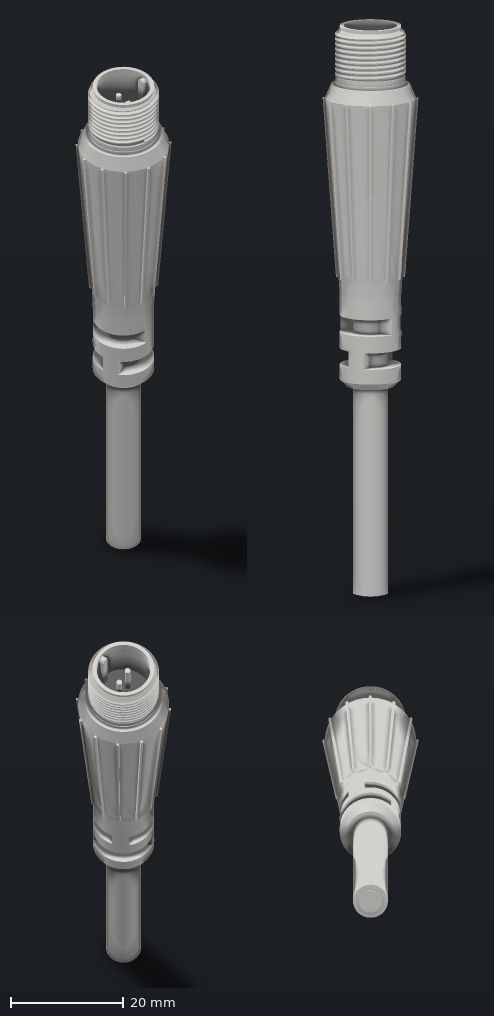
import cadquery as cq

TOTAL_HEIGHT = 103.5
RIM_EDGE_Z = 102.9
COLLAR_TOP_Z = 94.4
COLLAR_STEP_Z = 93.4
SHOULDER_TOP_Z = 92.8
GRIP_TOP_Z = 90.3
RIB_BOTTOM_Z = 57.7
GRIP_BOTTOM_Z = 54.8
UPPER_SLOT_TOP_Z = 50.9
HOUSING_BOTTOM_Z = 38.0

RIM_DIAMETER = 11.0
THREAD_DIAMETER = 12.7
THREAD_ROOT_DIAMETER = 11.6
COLLAR_DIAMETER = 12.4
NECK_DIAMETER = THREAD_DIAMETER
SHOULDER_TOP_DIAMETER = 14.1
GRIP_TOP_DIAMETER = 16.2
BOTTOM_CHAMFER = 1.2

THREAD_PITCH = 0.91
THREAD_BASE_WIDTH = 0.88
THREAD_CREST_WIDTH = 0.2
THREAD_EMBED = 0.2
THREAD_START_OFFSET = 0.2

RIB_COUNT = 12
RIB_START_ANGLE = -5.0
RIB_TOP_DIAMETER = 17.1
RIB_BOTTOM_DIAMETER = 12.3
RIB_TOP_WIDTH = 0.47
RIB_BOTTOM_WIDTH = 0.26
RIB_EMBED = 1.6

SLOT_HEIGHT = 3.0
SLOT_SPACING = 6.0
WEB_WIDTH = 3.1
WEB_ANGLE = 26.5

SOCKET_DIAMETER = 9.6
SOCKET_DEPTH = 9.0
KEY_WIDTH = 1.3
KEY_CHAMFER = 0.3
KEY_INNER_Y = 3.8
KEY_EMBED = 0.3
KEY_TOP_Z = 102.9
PIN_DIAMETER = 1.01
PIN_SPACING = 2.8
PIN_TOP_Z = 100.6
PIN_BOSS_DIAMETER = 2.1
PIN_BOSS_HEIGHT = 0.2

CABLE_DIAMETER = 6.2
CABLE_HOLE_DIAMETER = 6.3
CABLE_TOP_Z = GRIP_BOTTOM_Z
CABLE_CORE_DIAMETER = 4.1
CABLE_CORE_LENGTH = 0.3

CUT_MARGIN = 1.0

RIM_RADIUS = RIM_DIAMETER / 2
THREAD_ROOT_RADIUS = THREAD_ROOT_DIAMETER / 2
THREAD_RADIUS = THREAD_DIAMETER / 2
SOCKET_FLOOR_Z = TOTAL_HEIGHT - SOCKET_DEPTH


def cylinder(diameter, bottom_z, top_z):
    """Solid cylinder on the Z axis."""
    return cq.Workplane("XY").workplane(offset=bottom_z).circle(diameter / 2).extrude(top_z - bottom_z)


def make_housing_core():
    """Turned body: strain relief, grip cone, shoulder, collar and thread core."""
    profile = [
        (0, HOUSING_BOTTOM_Z),
        (RIM_RADIUS - BOTTOM_CHAMFER, HOUSING_BOTTOM_Z),
        (RIM_RADIUS, HOUSING_BOTTOM_Z + BOTTOM_CHAMFER),
        (RIM_RADIUS, GRIP_BOTTOM_Z),
        (GRIP_TOP_DIAMETER / 2, GRIP_TOP_Z),
        (SHOULDER_TOP_DIAMETER / 2, SHOULDER_TOP_Z),
        (NECK_DIAMETER / 2, SHOULDER_TOP_Z),
        (NECK_DIAMETER / 2, COLLAR_STEP_Z),
        (COLLAR_DIAMETER / 2, COLLAR_STEP_Z),
        (COLLAR_DIAMETER / 2, COLLAR_TOP_Z),
        (THREAD_ROOT_RADIUS, COLLAR_TOP_Z),
        (THREAD_ROOT_RADIUS, TOTAL_HEIGHT),
        (0, TOTAL_HEIGHT),
    ]
    return cq.Workplane("XZ").polyline(profile).close().revolve(360, (0, 0), (0, 1))


def make_thread_ridge():
    """Right-handed helical ridge, sunk into the thread core and running out past the rim."""
    start_z = COLLAR_TOP_Z + THREAD_START_OFFSET
    height = TOTAL_HEIGHT - start_z
    inner_radius = THREAD_ROOT_RADIUS - THREAD_EMBED
    helix = cq.Wire.makeHelix(THREAD_PITCH, height, inner_radius).moved(cq.Location(cq.Vector(0, 0, start_z)))
    section = [
        (inner_radius, start_z - THREAD_BASE_WIDTH / 2),
        (THREAD_RADIUS, start_z - THREAD_CREST_WIDTH / 2),
        (THREAD_RADIUS, start_z + THREAD_CREST_WIDTH / 2),
        (inner_radius, start_z + THREAD_BASE_WIDTH / 2),
    ]
    return cq.Workplane("XZ").polyline(section).close().sweep(cq.Workplane(helix), isFrenet=True)


def make_lead_in_cutter():
    """Ring that turns the threaded end down to the plain rim and a 45 degree lead-in."""
    reach = THREAD_RADIUS + CUT_MARGIN - RIM_RADIUS
    profile = [
        (RIM_RADIUS, RIM_EDGE_Z),
        (RIM_RADIUS + reach, RIM_EDGE_Z - reach),
        (RIM_RADIUS + reach, TOTAL_HEIGHT + CUT_MARGIN),
        (RIM_RADIUS, TOTAL_HEIGHT + CUT_MARGIN),
    ]
    return cq.Workplane("XZ").polyline(profile).close().revolve(360, (0, 0), (0, 1))


def make_rib(angle):
    """Narrow rib that follows the grip cone and tapers towards the strain relief."""
    bottom_center = (RIB_BOTTOM_DIAMETER - RIB_EMBED) / 2
    top_center = (RIB_TOP_DIAMETER - RIB_EMBED) / 2
    rib = (
        cq.Workplane("XY")
        .workplane(offset=RIB_BOTTOM_Z)
        .center(bottom_center, 0)
        .rect(RIB_EMBED, RIB_BOTTOM_WIDTH)
        .workplane(offset=GRIP_TOP_Z - RIB_BOTTOM_Z)
        .center(top_center - bottom_center, 0)
        .rect(RIB_EMBED, RIB_TOP_WIDTH)
        .loft(ruled=True)
    )
    return rib.rotate((0, 0, 0), (0, 0, 1), angle)


def make_slot(top_z, web_angle):
    """Ring-shaped cut down to the cable that leaves two opposite webs along one diameter."""
    bottom_z = top_z - SLOT_HEIGHT
    ring = cylinder(RIM_DIAMETER + CUT_MARGIN, bottom_z, top_z)
    web = (
        cq.Workplane("XY")
        .workplane(offset=bottom_z)
        .rect(2 * RIM_DIAMETER, WEB_WIDTH)
        .extrude(SLOT_HEIGHT)
        .rotate((0, 0, 0), (0, 0, 1), web_angle)
    )
    return ring.cut(web)


def make_key():
    """Polarising key on the +Y side of the socket wall, with chamfered upper corners."""
    key_length_y = SOCKET_DIAMETER / 2 + KEY_EMBED - KEY_INNER_Y
    key = cq.Workplane("XY").box(
        KEY_WIDTH, key_length_y, KEY_TOP_Z - SOCKET_FLOOR_Z, centered=(True, False, False)
    )
    key = key.edges(">Z and |Y").chamfer(KEY_CHAMFER)
    return key.translate((0, KEY_INNER_Y, SOCKET_FLOOR_Z))


def make_pin(x):
    """Contact pin with a low boss around its foot."""
    boss = cylinder(PIN_BOSS_DIAMETER, SOCKET_FLOOR_Z, SOCKET_FLOOR_Z + PIN_BOSS_HEIGHT)
    return cylinder(PIN_DIAMETER, SOCKET_FLOOR_Z, PIN_TOP_Z).union(boss).translate((x, 0, 0))


def make_housing():
    """Threaded connector with grip, strain relief, key and pins as one solid."""
    housing = make_housing_core().union(make_thread_ridge())
    housing = housing.cut(make_lead_in_cutter())
    for i in range(RIB_COUNT):
        housing = housing.union(make_rib(RIB_START_ANGLE + i * 360 / RIB_COUNT))
    housing = housing.cut(cylinder(SOCKET_DIAMETER, SOCKET_FLOOR_Z, TOTAL_HEIGHT))
    housing = housing.union(make_key())
    for x in (-PIN_SPACING / 2, PIN_SPACING / 2):
        housing = housing.union(make_pin(x))
    housing = housing.cut(make_slot(UPPER_SLOT_TOP_Z, WEB_ANGLE))
    housing = housing.cut(make_slot(UPPER_SLOT_TOP_Z - SLOT_SPACING, WEB_ANGLE + 90))
    return housing.cut(cylinder(CABLE_HOLE_DIAMETER, HOUSING_BOTTOM_Z, CABLE_TOP_Z))


def make_cable():
    """Cable jacket with the bare core showing at the free end."""
    jacket = cylinder(CABLE_DIAMETER, CABLE_CORE_LENGTH, CABLE_TOP_Z)
    core = cylinder(CABLE_CORE_DIAMETER, 0, CABLE_CORE_LENGTH)
    return jacket.union(core)


housing = make_housing()
cable = make_cable()

result = cq.Compound.makeCompound([housing.solids().val(), cable.solids().val()])